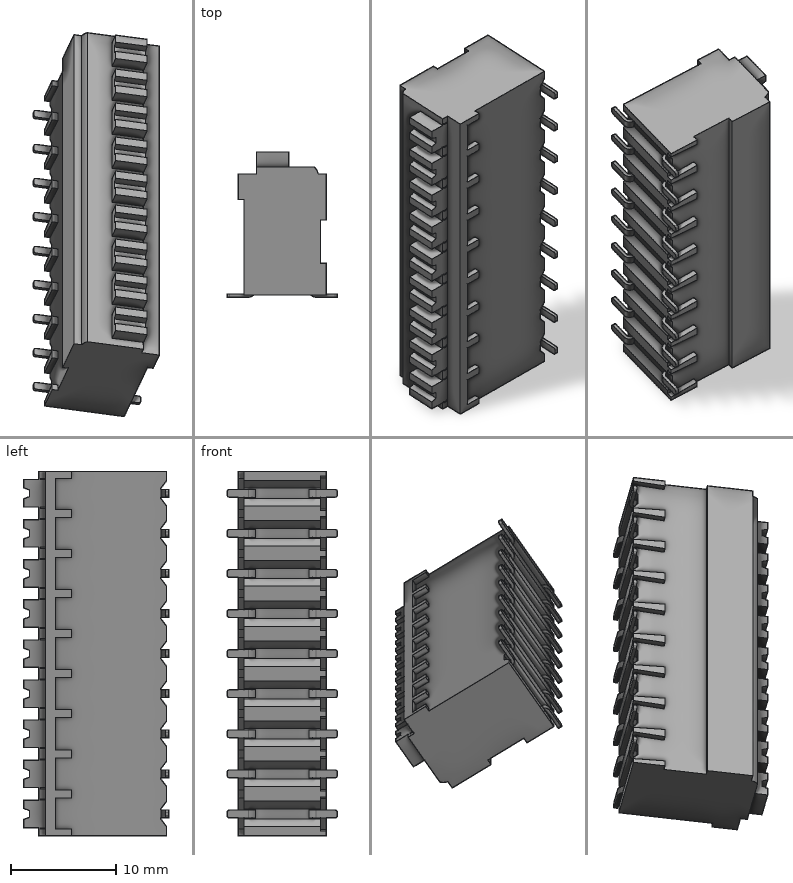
import cadquery as cq


POLES = 9
PITCH = 3.8
LENGTH = 34.68
END_MARGIN = (LENGTH - (POLES - 1) * PITCH) / 2
pole_centres = [END_MARGIN + i * PITCH for i in range(POLES)]
pole_borders = [END_MARGIN + (i - 0.5) * PITCH for i in range(POLES + 1)]

CORE_HALF = 3.65
FLANK_HALF = 4.2
FRONT_Y = 0.2
SHOULDER_Y = 11.75
BACK_Y = 12.4
BACK_LEFT_X = -2.45
BACK_RIGHT_X = 3.05
SHOULDER_RIGHT_X = 3.45
SHOULDER_RADIUS = 1.4
RIGHT_BLOCK_Y = 7.35

RAIL_Y = 10.8
KEY_END_Y = 9.3
KEY_WIDTH = 0.75
END_KEY_LENGTH = 0.65

RIB_END_Y = 3.25
RIB_FRONT_WIDTH = 0.55
RIB_BACK_WIDTH = 0.85

GROOVE_DEPTH = 0.55
GROOVE_MOUTH = 2.43
GROOVE_FLOOR = 0.97

LEVER_RIGHT_X = 0.62
LEVER_WIDTH = 2.65
LEVER_END_Y = 13.85
NOTCH_DEPTH = 0.55
NOTCH_MOUTH = 1.05
NOTCH_FLOOR = 0.62
LEVER_GAP = 0.1
LEVER_GAP_END_Y = 12.25
LEVER_GAP_DEPTH = 0.35

FOOT_SPAN = 10.5
LEAD_THICKNESS = 0.33
LEAD_WIDTH = 0.75
BEND_CENTRE_X = 3.23
BEND_RADIUS = 0.65
LEAD_ROOT_Y = 1.4
TIP_RADIUS = 0.25


def box(x0, x1, y0, y1, z0, z1):
    return cq.Workplane("XY").box(x1 - x0, y1 - y0, z1 - z0, centered=False).translate((x0, y0, z0))


def along_x(yz_points, x0, x1):
    """Extrude a (y, z) outline from x0 to x1."""
    return cq.Workplane("YZ").polyline(yz_points).close().extrude(x1 - x0).translate((x0, 0, 0))


def trapezoid(y0, width0, y1, width1, z):
    """Outline in (y, z), centred on z, changing from width0 at y0 to width1 at y1."""
    return [
        (y0, z - width0 / 2),
        (y0, z + width0 / 2),
        (y1, z + width1 / 2),
        (y1, z - width1 / 2),
    ]


def make_housing():
    return (
        cq.Workplane("XY")
        .moveTo(-CORE_HALF, FRONT_Y)
        .lineTo(CORE_HALF, FRONT_Y)
        .lineTo(CORE_HALF, RIGHT_BLOCK_Y)
        .lineTo(FLANK_HALF, RIGHT_BLOCK_Y)
        .lineTo(FLANK_HALF, SHOULDER_Y)
        .lineTo(SHOULDER_RIGHT_X, SHOULDER_Y)
        .radiusArc((BACK_RIGHT_X, BACK_Y), -SHOULDER_RADIUS)
        .lineTo(BACK_LEFT_X, BACK_Y)
        .lineTo(BACK_LEFT_X, SHOULDER_Y)
        .lineTo(-FLANK_HALF, SHOULDER_Y)
        .lineTo(-FLANK_HALF, RAIL_Y)
        .lineTo(-CORE_HALF, RAIL_Y)
        .close()
        .extrude(LENGTH)
    )


def make_key(z0, z1):
    return box(-FLANK_HALF, -CORE_HALF, KEY_END_Y, RAIL_Y, z0, z1)


def make_rib(z):
    return along_x(
        trapezoid(FRONT_Y, RIB_FRONT_WIDTH, RIB_END_Y, RIB_BACK_WIDTH, z), CORE_HALF, FLANK_HALF
    )


def make_groove(z):
    outline = trapezoid(FRONT_Y, GROOVE_MOUTH, FRONT_Y + GROOVE_DEPTH, GROOVE_FLOOR, z)
    return along_x(outline, -CORE_HALF, CORE_HALF)


def make_lever_gap(z):
    half = LEVER_WIDTH / 2 + LEVER_GAP
    x1 = BACK_LEFT_X + LEVER_GAP_DEPTH
    return box(BACK_LEFT_X, x1, SHOULDER_Y, LEVER_GAP_END_Y, z - half, z + half)


def make_lever(z):
    half = LEVER_WIDTH / 2
    block = box(BACK_LEFT_X, LEVER_RIGHT_X, SHOULDER_Y, LEVER_END_Y, z - half, z + half)
    notch = trapezoid(LEVER_END_Y, NOTCH_MOUTH, LEVER_END_Y - NOTCH_DEPTH, NOTCH_FLOOR, z)
    return block.cut(along_x(notch, BACK_LEFT_X, LEVER_RIGHT_X))


def make_right_lead(z):
    """L-shaped lead: a foot pointing to +X, bent back into the housing."""
    tip_x = FOOT_SPAN / 2
    leg_x = BEND_CENTRE_X - BEND_RADIUS
    strip = (
        cq.Workplane("XY")
        .moveTo(tip_x, 0)
        .lineTo(BEND_CENTRE_X, 0)
        .radiusArc((leg_x, BEND_RADIUS), BEND_RADIUS)
        .lineTo(leg_x, LEAD_ROOT_Y)
        .lineTo(leg_x + LEAD_THICKNESS, LEAD_ROOT_Y)
        .lineTo(leg_x + LEAD_THICKNESS, BEND_RADIUS)
        .radiusArc((BEND_CENTRE_X, LEAD_THICKNESS), -(BEND_RADIUS - LEAD_THICKNESS))
        .lineTo(tip_x, LEAD_THICKNESS)
        .close()
        .extrude(LEAD_WIDTH)
    )
    return strip.edges("|Y and >X").fillet(TIP_RADIUS).translate((0, 0, z - LEAD_WIDTH / 2))


flank_limits = box(-FLANK_HALF, FLANK_HALF, FRONT_Y, SHOULDER_Y, 0, LENGTH)
cutters = []
additions = [
    make_key(0, END_KEY_LENGTH),
    make_key(LENGTH - END_KEY_LENGTH, LENGTH),
]
for border in pole_borders:
    additions.append(make_rib(border).intersect(flank_limits))
for border in pole_borders[1:-1]:
    additions.append(make_key(border - KEY_WIDTH / 2, border + KEY_WIDTH / 2))
for centre in pole_centres:
    lead = make_right_lead(centre)
    cutters += [make_groove(centre), make_lever_gap(centre)]
    additions += [make_lever(centre), lead, lead.mirror("YZ")]

housing = make_housing().val().cut(*[cutter.val() for cutter in cutters])
result = cq.Workplane(housing.fuse(*[addition.val() for addition in additions])).clean()